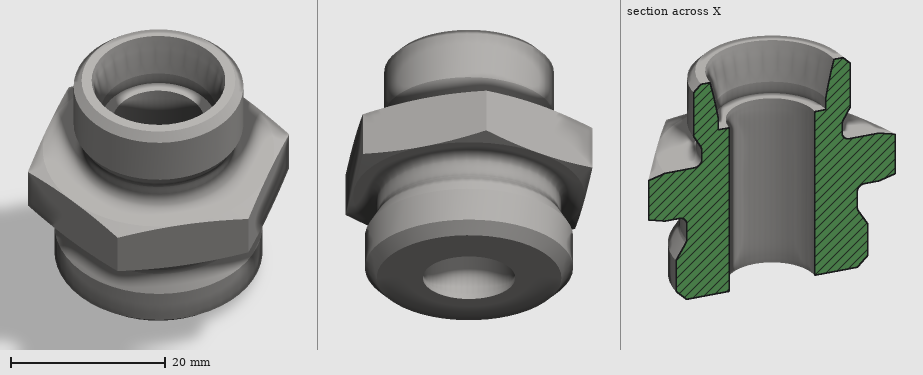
import cadquery as cq
import math

HEIGHT = 31.0
HEX_BOTTOM = 12.0
HEX_TOP = 19.02

HEX_ACROSS_FLATS = 30.0
HEX_CHAMFER_ANGLE = 15

LOWER_THREAD_DIAMETER = 27.0
LOWER_RELIEF_DIAMETER = 23.95
LOWER_CHAMFER_HEIGHT = 1.5
LOWER_CHAMFER_WIDTH = 1.52
LOWER_THREAD_TOP = 6.0
LOWER_CONE_TOP = 8.5

UPPER_THREAD_DIAMETER = 22.0
UPPER_RELIEF_DIAMETER = 19.7
UPPER_CHAMFER = 1.05
UPPER_THREAD_BOTTOM = 23.55
UPPER_CONE_BOTTOM = 21.58

ROOT_FILLET = 1.0

LEVEL_TOLERANCE = 0.05

PASSAGE_DIAMETER = 12.0
SOCKET_DIAMETER = 15.0
MOUTH_DIAMETER = 17.32
MOUTH_HALF_ANGLE = 12
SOCKET_DEPTH = 7.1


def revolve_profile(points):
    """Revolve an (r, z) outline around the Z axis."""
    return cq.Workplane("XZ").polyline(points).close().revolve(360, (0, 0, 0), (0, 1, 0))


def make_hexagon():
    flat_radius = HEX_ACROSS_FLATS / 2
    corner_radius = flat_radius / math.cos(math.radians(30))
    drop = (corner_radius - flat_radius) * math.tan(math.radians(HEX_CHAMFER_ANGLE))
    prism = (
        cq.Workplane("XY")
        .workplane(offset=HEX_BOTTOM)
        .polygon(6, 2 * corner_radius)
        .extrude(HEX_TOP - HEX_BOTTOM)
        .rotate((0, 0, 0), (0, 0, 1), 30)
    )
    chamfer_envelope = revolve_profile([
        (0, HEX_BOTTOM),
        (flat_radius, HEX_BOTTOM),
        (corner_radius, HEX_BOTTOM + drop),
        (corner_radius, HEX_TOP - drop),
        (flat_radius, HEX_TOP),
        (0, HEX_TOP),
    ])
    return prism.intersect(chamfer_envelope)


def make_outer_body():
    """Hexagon and both threaded ends, with fillets at both ends of each relief."""
    lower_thread = LOWER_THREAD_DIAMETER / 2
    lower_relief = LOWER_RELIEF_DIAMETER / 2
    upper_thread = UPPER_THREAD_DIAMETER / 2
    upper_relief = UPPER_RELIEF_DIAMETER / 2
    lower_end = revolve_profile([
        (0, 0),
        (lower_thread - LOWER_CHAMFER_WIDTH, 0),
        (lower_thread, LOWER_CHAMFER_HEIGHT),
        (lower_thread, LOWER_THREAD_TOP),
        (lower_relief, LOWER_CONE_TOP),
        (lower_relief, HEX_BOTTOM),
        (0, HEX_BOTTOM),
    ])
    upper_end = revolve_profile([
        (0, HEX_TOP),
        (upper_relief, HEX_TOP),
        (upper_relief, UPPER_CONE_BOTTOM),
        (upper_thread, UPPER_THREAD_BOTTOM),
        (upper_thread, HEIGHT - UPPER_CHAMFER),
        (upper_thread - UPPER_CHAMFER, HEIGHT),
        (0, HEIGHT),
    ])
    body = make_hexagon().union(lower_end).union(upper_end)
    for level in (LOWER_CONE_TOP, HEX_BOTTOM, HEX_TOP, UPPER_CONE_BOTTOM):
        relief_radius = lower_relief if level <= HEX_BOTTOM else upper_relief
        reach = relief_radius + LEVEL_TOLERANCE
        corner = cq.selectors.BoxSelector(
            (-reach, -reach, level - LEVEL_TOLERANCE),
            (reach, reach, level + LEVEL_TOLERANCE),
            boundingbox=True,
        )
        body = body.edges(corner).fillet(ROOT_FILLET)
    return body


def make_bore():
    passage = PASSAGE_DIAMETER / 2
    socket = SOCKET_DIAMETER / 2
    mouth = MOUTH_DIAMETER / 2
    mouth_depth = (mouth - socket) / math.tan(math.radians(MOUTH_HALF_ANGLE))
    return revolve_profile([
        (0, 0),
        (passage, 0),
        (passage, HEIGHT - SOCKET_DEPTH),
        (socket, HEIGHT - SOCKET_DEPTH),
        (socket, HEIGHT - mouth_depth),
        (mouth, HEIGHT),
        (0, HEIGHT),
    ])


result = make_outer_body().cut(make_bore())